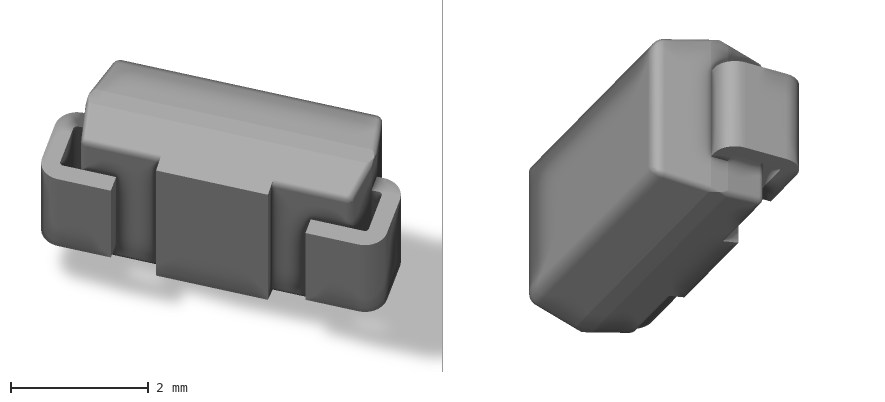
import cadquery as cq
import math

overall_length = 5.21
housing_length = 4.32
housing_width = 2.6
housing_top = 2.2
housing_base = 0.405
draft_angle = 10.0
corner_radius = 0.085
base_edge_radius = 0.1
top_edge_radius = 0.2

pedestal_length = 1.69
pedestal_base = 0.205

lead_thickness = 0.275
lead_width = 1.46
lead_foot_length = 1.135
lead_bend_radius = 0.335
lead_inner_radius = lead_bend_radius - lead_thickness
lead_top = 1.34

parting_height = lead_top - lead_thickness / 2
band_overshoot = lead_thickness / 2 * math.tan(math.radians(draft_angle))


def drafted_block(plane_name, height):
    """Block growing along Y from the parting plane, narrowing with the mould draft."""
    origin = (0, parting_height, 0)
    along_x = housing_length + 2 * band_overshoot
    along_z = housing_width + 2 * band_overshoot
    if plane_name == "ZX":
        first_side, second_side = along_z, along_x
    else:
        first_side, second_side = along_x, along_z
    return (
        cq.Workplane(plane_name, origin=origin)
        .rect(first_side, second_side)
        .extrude(height, taper=draft_angle)
    )


def rounded_half(plane_name, height, end_face, end_radius):
    """Drafted half with a rounded rim and rounded corners at its outer end."""
    half = drafted_block(plane_name, height)
    half = half.faces(end_face).edges().fillet(end_radius)
    return half.edges("(not #Y) and %LINE").fillet(corner_radius)


def make_housing():
    """Two drafted halves and the pedestal, trimmed to the straight parting band."""
    upper_half = rounded_half("ZX", housing_top - parting_height, ">Y", top_edge_radius)
    lower_half = rounded_half("XZ", parting_height - housing_base, "<Y", base_edge_radius)
    pedestal_slice = cq.Workplane("XY").box(pedestal_length, 2 * parting_height, housing_width)
    pedestal = drafted_block("XZ", parting_height - pedestal_base).intersect(pedestal_slice)
    band_limits = cq.Workplane("XY").box(housing_length, 2 * housing_top, housing_width)
    return upper_half.union(lower_half.union(pedestal)).intersect(band_limits)


def make_lead(side):
    """C-shaped strip from the housing end face to the foot; side is -1 or +1 along X."""
    outer_end = overall_length / 2
    inner_face = outer_end - lead_thickness
    housing_end = housing_length / 2
    foot_tip = outer_end - lead_foot_length
    strip = (
        cq.Workplane("XY")
        .moveTo(side * housing_end, lead_top)
        .lineTo(side * outer_end, lead_top)
        .lineTo(side * outer_end, 0)
        .lineTo(side * foot_tip, 0)
        .lineTo(side * foot_tip, lead_thickness)
        .lineTo(side * inner_face, lead_thickness)
        .lineTo(side * inner_face, lead_top - lead_thickness)
        .lineTo(side * housing_end, lead_top - lead_thickness)
        .close()
        .extrude(lead_width / 2, both=True)
    )
    outward = ">X" if side > 0 else "<X"
    strip = strip.faces(outward).edges("|Z").fillet(lead_bend_radius)
    inner_corners = cq.selectors.BoxSelector(
        (side * inner_face - lead_inner_radius, 0, -lead_width),
        (side * inner_face + lead_inner_radius, lead_top, lead_width),
    )
    return strip.edges("|Z").edges(inner_corners).fillet(lead_inner_radius)


housing = make_housing()
leads = [make_lead(side) for side in (-1, 1)]

result = cq.Compound.makeCompound([housing.val(), *[lead.val() for lead in leads]])